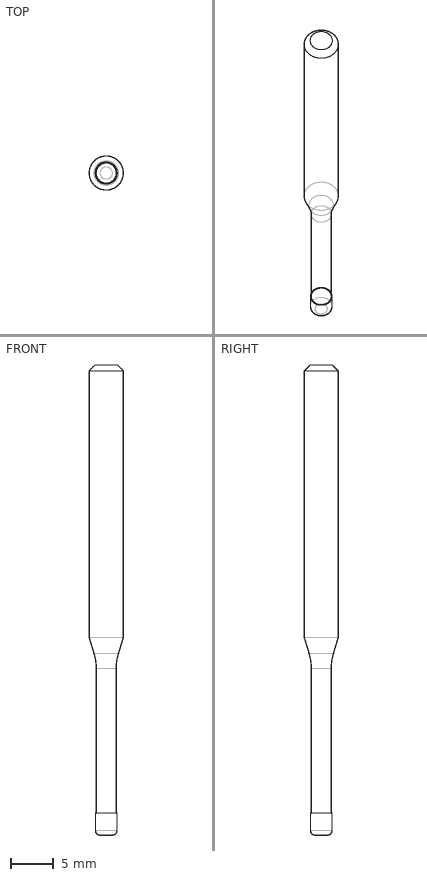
import cadquery as cq
import math

total_length = 55.0
shank_radius = 4.0 / 2
chamfer_size = 0.7

tip_length = 2.6
tip_radius = 1.25
tip_corner_radius = 0.55

neck_relief = 0.095
neck_radius = tip_radius - neck_relief
neck_top_z = 19.45
cone_angle = math.radians(17)
blend_radius = 6.05


def blend_point(angle):
    """Point (radius, z) on the blend arc where its tangent leans out from the axis by angle."""
    return (
        neck_radius + blend_radius * (1 - math.cos(angle)),
        neck_top_z + blend_radius * math.sin(angle),
    )


def make_shank():
    """Revolved shank, cone, blend and neck, ending where the cutting tip begins."""
    blend_end = blend_point(cone_angle)
    blend_end_radius, blend_end_z = blend_end
    shoulder_z = blend_end_z + (shank_radius - blend_end_radius) / math.tan(cone_angle)

    profile = (
        cq.Workplane("XZ")
        .moveTo(0, tip_length)
        .lineTo(neck_radius, tip_length)
        .lineTo(neck_radius, neck_top_z)
        .threePointArc(blend_point(cone_angle / 2), blend_end)
        .lineTo(shank_radius, shoulder_z)
        .lineTo(shank_radius, total_length - chamfer_size)
        .lineTo(shank_radius - chamfer_size, total_length)
        .lineTo(0, total_length)
        .close()
    )
    return profile.revolve(360, (0, 0), (0, 1))


def make_cutting_tip():
    """Short cylinder, slightly wider than the neck, with a rounded lower edge."""
    cylinder = cq.Workplane("XY").circle(tip_radius).extrude(tip_length)
    return cylinder.faces("<Z").edges().fillet(tip_corner_radius)


shank = make_shank()
cutting_tip = make_cutting_tip()

result = cq.Compound.makeCompound([shank.val(), cutting_tip.val()])